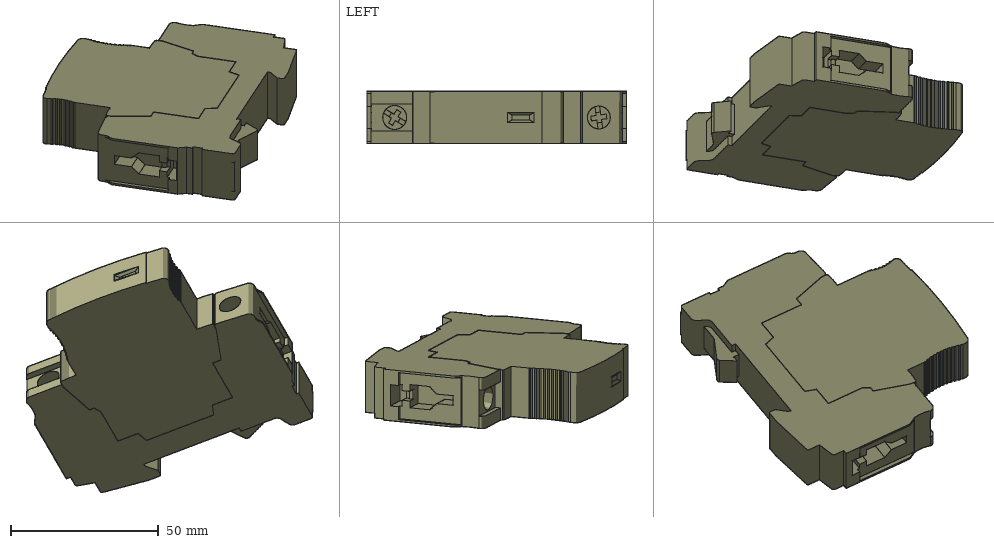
import cadquery as cq


WIDTH = 17.8
HALF_HEIGHT = 44.0
COVER_WIDTH = 17.5
CLIP_WIDTH = 11.1
CLIP_TIP_X = 76.65

SHOULDER_X = 27.3
HIDDEN_EDGE_Y = 26.0
SHOULDER_Y = 42.6
RAIL_FACE_X = 69.3
FOOT_X = 76.1
CLIP_SEAT_X = 70.8
CLIP_ROOT_X = 68.5
CLIP_BACK_X = 72.7
FOOT_CORNER_RADIUS = 0.9

NOSE_CORNER_Y = 20.6
NOSE_HALF_HEIGHT = 22.6
LOBE_X = 25.9
LOBE_Y = 28.6
FIRST_RIB_X = 5.1
RIB_PITCH = 1.5
RIB_WIDTH = 0.6
RIB_HEIGHT = 0.5

UPPER_HOLE_RADIUS = 4.05
LOWER_HOLE_RADIUS = 3.9
HOLE_Y = 34.6
HOLE_DEPTH = 5.5
LOWER_FACE_X = 26.8
UPPER_SLOT_ANGLE = 32
LOWER_SLOT_ANGLE = 82
SLOT_WIDTH = 1.6
SLOT_DEPTH = 0.4
CROSS_LENGTH = 5.3
CROSS_SHORT_LENGTH = 3.5
CROSS_DEPTH = 0.7
CHANNEL_WIDTH = 9.15
CHANNEL_FLOOR_X = 29.2

LOWER_WINDOW_X = 30.3
UPPER_WINDOW_X = 35.5
WINDOW_LENGTH = 22.8
WINDOW_WIDTH = 16.4
KEY_START = 3.3
KEY_NECK_END = 9.3
KEY_BODY_START = 12.0
KEY_BODY_END = 19.2
LATCH_START = 22.0
LATCH_END = 25.8
KEY_NECK_WIDTH = 3.3
KEY_BODY_WIDTH = 8.1
LATCH_WIDTH = 7.4
WELL_DEPTH = 7.0
GROOVE_DEPTH = 3.5
PIN_RADIUS = 0.8

NOSE_WINDOW_Y = -8.2
NOSE_WINDOW_SIZE = (9.0, 3.5)
NOSE_WINDOW_FLOOR = (6.0, 1.6)
NOSE_WINDOW_RIM_X = 0.5
NOSE_WINDOW_DEPTH = 1.3

OVERCUT = 4.4


def box(x_range, y_range, z_width):
    """Box between two X and two Y values, centred on Z."""
    size_x = x_range[1] - x_range[0]
    size_y = y_range[1] - y_range[0]
    block = cq.Workplane("XY").box(size_x, size_y, z_width, centered=(False, False, True))
    return block.translate((x_range[0], y_range[0], 0))


def plate(outline, width):
    """Closed XY outline given a width centred on Z."""
    return outline.close().extrude(width).translate((0, 0, -width / 2))


def housing():
    outline = (
        cq.Workplane("XY")
        .moveTo(SHOULDER_X, HIDDEN_EDGE_Y)
        .lineTo(SHOULDER_X, 40.6)
        .threePointArc((27.8, 42.0), (29.1, SHOULDER_Y))
        .threePointArc((32.0, 42.1), (35.5, 42.3))
        .lineTo(37.6, 43.65)
        .threePointArc((38.2, 43.9), (38.9, HALF_HEIGHT))
        .lineTo(63.7, HALF_HEIGHT)
        .lineTo(63.7, 42.4)
        .lineTo(67.2, 42.4)
        .threePointArc((67.8, 42.15), (68.0, 41.6))
        .lineTo(RAIL_FACE_X, 35.9)
        .lineTo(73.6, 35.9)
        .threePointArc((73.9, 35.7), (74.1, 35.4))
        .lineTo(FOOT_X, 19.0)
        .lineTo(FOOT_X, 15.0)
        .threePointArc((75.9, 14.5), (75.5, 14.3))
        .lineTo(73.7, 14.3)
        .lineTo(70.6, 17.25)
        .threePointArc((70.05, 17.5), (RAIL_FACE_X, 17.6))
        .lineTo(RAIL_FACE_X, -18.0)
        .lineTo(CLIP_SEAT_X, -18.0)
        .lineTo(CLIP_SEAT_X, -30.8)
        .threePointArc((71.4, -31.9), (CLIP_BACK_X, -32.8))
        .lineTo(75.1, -34.1)
        .threePointArc((75.9, -34.85), (FOOT_X, -35.9))
        .lineTo(FOOT_X, -SHOULDER_Y)
        .lineTo(64.6, -SHOULDER_Y)
        .lineTo(64.6, -41.7)
        .lineTo(61.2, -41.7)
        .lineTo(61.2, -SHOULDER_Y)
        .lineTo(59.05, -SHOULDER_Y)
        .lineTo(56.4, -HALF_HEIGHT)
        .lineTo(33.6, -HALF_HEIGHT)
        .tangentArcPoint((32.0, -43.4), relative=False)
        .tangentArcPoint((LOWER_WINDOW_X, -SHOULDER_Y), relative=False)
        .lineTo(29.3, -SHOULDER_Y)
        .threePointArc((27.9, -42.1), (SHOULDER_X, -40.7))
        .lineTo(26.5, -29.7)
        .threePointArc((26.6, -29.3), (26.8, -29.0))
        .lineTo(27.1, -HIDDEN_EDGE_Y)
    )
    body = plate(outline, WIDTH)
    corner_outline = (
        cq.Workplane("XY")
        .moveTo(FOOT_X - FOOT_CORNER_RADIUS, -SHOULDER_Y)
        .lineTo(FOOT_X, -SHOULDER_Y)
        .lineTo(FOOT_X, FOOT_CORNER_RADIUS - SHOULDER_Y)
        .radiusArc((FOOT_X - FOOT_CORNER_RADIUS, -SHOULDER_Y), FOOT_CORNER_RADIUS)
    )
    corner_waste = plate(corner_outline, WIDTH)
    corner_waste = corner_waste.cut(box((0, FOOT_X), (-HALF_HEIGHT, 0), CLIP_WIDTH))
    return body.cut(corner_waste)


def cover_outline():
    return (
        cq.Workplane("XY")
        .moveTo(1.0, NOSE_CORNER_Y)
        .threePointArc((0, 1.7), (0.8, -15.3))
        .lineTo(1.1, -15.3)
        .lineTo(1.6, -NOSE_CORNER_Y)
        .threePointArc((2.1, -22.1), (3.5, -NOSE_HALF_HEIGHT))
        .threePointArc((8.45, -21.65), (13.4, -NOSE_HALF_HEIGHT))
        .lineTo(LOBE_X, -NOSE_HALF_HEIGHT)
        .lineTo(LOBE_X, -25.1)
        .lineTo(26.1, -28.3)
        .lineTo(26.5, -LOBE_Y)
        .lineTo(28.4, -LOBE_Y)
        .lineTo(40.9, -24.6)
        .lineTo(40.9, -21.5)
        .lineTo(56.85, -21.5)
        .lineTo(56.85, -13.9)
        .lineTo(60.7, -12.6)
        .lineTo(60.7, 12.6)
        .lineTo(56.85, 13.9)
        .lineTo(56.85, 21.5)
        .lineTo(43.4, 21.5)
        .lineTo(40.9, 22.9)
        .lineTo(40.9, 24.6)
        .lineTo(28.4, LOBE_Y)
        .lineTo(26.5, LOBE_Y)
        .lineTo(26.1, 28.3)
        .lineTo(LOBE_X, 25.1)
        .lineTo(LOBE_X, NOSE_HALF_HEIGHT)
        .lineTo(19.4, NOSE_HALF_HEIGHT)
        .threePointArc((11.7, 21.3), (4.0, NOSE_HALF_HEIGHT))
        .lineTo(2.8, NOSE_HALF_HEIGHT)
        .threePointArc((1.5, 22.0), (1.0, NOSE_CORNER_Y))
    )


def grip_ribs(count, middle_x, half_length, hollow_depth, side):
    """Row of small ribs along the hollow of one grip; side is +1 for +Y, -1 for -Y."""
    points = []
    for index in range(count):
        x = FIRST_RIB_X + index * RIB_PITCH
        depth = hollow_depth * (1 - ((x - middle_x) / half_length) ** 2)
        points.append((x, side * (NOSE_HALF_HEIGHT - depth)))
    ribs = cq.Workplane("XY").pushPoints(points).rect(RIB_WIDTH, RIB_HEIGHT)
    return ribs.extrude(COVER_WIDTH).translate((0, 0, -COVER_WIDTH / 2))


def clip():
    outline = (
        cq.Workplane("XY")
        .moveTo(CLIP_ROOT_X, -15.9)
        .lineTo(71.4, -15.9)
        .lineTo(71.4, -13.7)
        .lineTo(76.3, -17.1)
        .threePointArc((CLIP_TIP_X, -18.0), (76.3, -19.0))
        .lineTo(CLIP_BACK_X, -26.4)
        .lineTo(CLIP_BACK_X, -33.4)
        .lineTo(CLIP_ROOT_X, -33.4)
    )
    return plate(outline, CLIP_WIDTH)


def terminal_hole(face_x, y, radius, slot_angle):
    """Cutter for a round terminal hole with a slotted cross-head screw as its floor."""
    outside = cq.Workplane("YZ", origin=(face_x - OVERCUT, y, 0))
    hole = outside.circle(radius).extrude(OVERCUT + HOLE_DEPTH)
    floor = cq.Workplane("YZ", origin=(face_x + HOLE_DEPTH, y, 0))
    turned_floor = floor.transformed(rotate=(0, 0, slot_angle))
    slot = turned_floor.rect(2 * radius, SLOT_WIDTH).extrude(SLOT_DEPTH)
    slot = slot.intersect(floor.circle(radius).extrude(SLOT_DEPTH))
    cross = turned_floor.rect(CROSS_SHORT_LENGTH, SLOT_WIDTH).extrude(CROSS_DEPTH)
    cross = cross.union(turned_floor.rect(SLOT_WIDTH, CROSS_LENGTH).extrude(CROSS_DEPTH))
    return hole.union(slot).union(cross)


def terminal_window(start_x):
    """Cutter for the window in the -Y end: shallow tray, key-shaped well and latch pocket."""
    floor_y = -SHOULDER_Y
    outside_y = -HALF_HEIGHT - OVERCUT

    def well(x_from, x_to, width, depth):
        return box((start_x + x_from, start_x + x_to), (outside_y, floor_y + depth), width)

    tray = well(0, WINDOW_LENGTH, WINDOW_WIDTH, 0)
    neck = well(KEY_START, KEY_BODY_START, KEY_NECK_WIDTH, WELL_DEPTH)
    body_profile = [
        (start_x + KEY_NECK_END, KEY_NECK_WIDTH / 2),
        (start_x + KEY_BODY_START, KEY_BODY_WIDTH / 2),
        (start_x + KEY_BODY_END, KEY_BODY_WIDTH / 2),
        (start_x + KEY_BODY_END, -KEY_BODY_WIDTH / 2),
        (start_x + KEY_BODY_START, -KEY_BODY_WIDTH / 2),
        (start_x + KEY_NECK_END, -KEY_NECK_WIDTH / 2),
    ]
    body = (
        cq.Workplane("XZ", origin=(0, floor_y + WELL_DEPTH, 0))
        .polyline(body_profile)
        .close()
        .extrude(floor_y + WELL_DEPTH - outside_y)
    )
    groove = well(KEY_BODY_END, LATCH_START, KEY_NECK_WIDTH, GROOVE_DEPTH)
    pin_x = start_x + KEY_BODY_END + PIN_RADIUS
    pin = (
        cq.Workplane("XY")
        .center(pin_x, floor_y + GROOVE_DEPTH)
        .circle(PIN_RADIUS)
        .extrude(KEY_NECK_WIDTH)
        .translate((0, 0, -KEY_NECK_WIDTH / 2))
    )
    latch = well(LATCH_START, LATCH_END, LATCH_WIDTH, WELL_DEPTH)
    return tray.union(neck).union(body).union(groove.cut(pin)).union(latch)


def nose_window():
    """Cutter for the recess in the nose: a straight rim, then sides sloping to the floor."""
    front = cq.Workplane("YZ", origin=(0, NOSE_WINDOW_Y, 0))
    rim = front.rect(*NOSE_WINDOW_SIZE).extrude(NOSE_WINDOW_RIM_X)
    slopes = (
        cq.Workplane("YZ", origin=(NOSE_WINDOW_RIM_X, NOSE_WINDOW_Y, 0))
        .rect(*NOSE_WINDOW_SIZE)
        .workplane(offset=NOSE_WINDOW_DEPTH - NOSE_WINDOW_RIM_X)
        .rect(*NOSE_WINDOW_FLOOR)
        .loft(ruled=True)
    )
    return rim.union(slopes)


cover_recess = plate(cover_outline(), WIDTH)
cover = plate(cover_outline(), COVER_WIDTH)
cover = cover.union(grip_ribs(count=10, middle_x=11.7, half_length=7.7, hollow_depth=1.3, side=1))
cover = cover.union(grip_ribs(count=6, middle_x=8.45, half_length=4.9, hollow_depth=1.0, side=-1))
cover = cover.cut(nose_window())

terminals = housing().cut(cover_recess)
terminals = terminals.cut(box((0, CHANNEL_FLOOR_X), (LOBE_Y, HALF_HEIGHT), CHANNEL_WIDTH))
terminals = terminals.cut(terminal_hole(CHANNEL_FLOOR_X, HOLE_Y, UPPER_HOLE_RADIUS, UPPER_SLOT_ANGLE))
terminals = terminals.cut(terminal_hole(LOWER_FACE_X, -HOLE_Y, LOWER_HOLE_RADIUS, LOWER_SLOT_ANGLE))
terminals = terminals.cut(terminal_window(LOWER_WINDOW_X))
terminals = terminals.cut(terminal_window(UPPER_WINDOW_X).mirror("XZ"))

result = terminals.union(cover).union(clip())